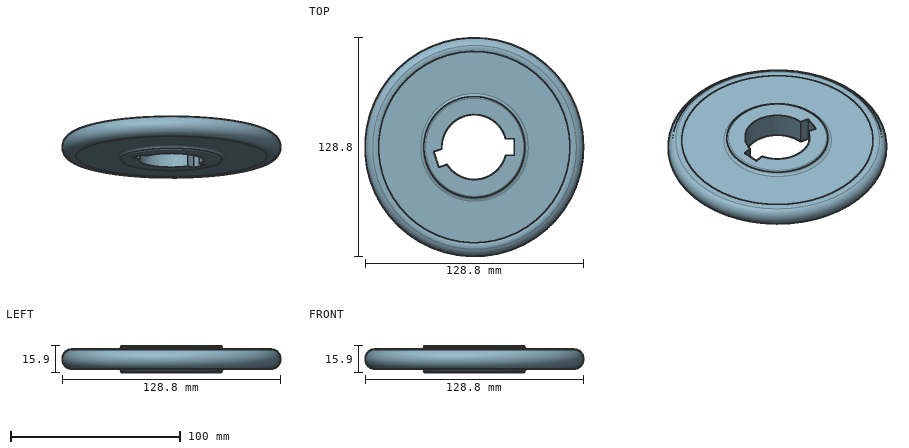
import cadquery as cq
import math

hub_width = 15.875
hub_radius = 29.77
hub_edge_fillet = 0.87
web_thickness = 11.1125
web_radius = 61.6
web_rim_fillet = 1.5875
collar_fillet = 1.984
collar_base_radius = 31.7

bore_diameter = 38.1
keyway_width = 9.525
keyway_reach = 23.45
keyway_angles = (0, 198)

tyre_outer_radius = 64.41
tyre_section_radius = 5.953
tyre_section_centre = tyre_outer_radius - tyre_section_radius

hub_top = hub_width / 2
web_top = web_thickness / 2
bore_radius = bore_diameter / 2


def point_on_arc(centre, radius, degrees):
    """Point (r, z) at the given angle on a circle in the half section."""
    angle = math.radians(degrees)
    return (centre[0] + radius * math.cos(angle), centre[1] + radius * math.sin(angle))


def make_wheel_half():
    """Upper half of the wheel, revolved about Z from its section above the mid-plane."""
    edge_centre = (hub_radius - hub_edge_fillet, hub_top - hub_edge_fillet)
    rim_centre = (web_radius - web_rim_fillet, web_top - web_rim_fillet)

    collar_centre = (collar_base_radius, web_top + collar_fillet)
    collar_end_angle = 180 + math.degrees(math.asin((collar_centre[1] - edge_centre[1]) / collar_fillet))
    collar_mid_angle = (collar_end_angle + 270) / 2

    section = (
        cq.Workplane("XZ")
        .moveTo(bore_radius, 0)
        .lineTo(bore_radius, hub_top)
        .lineTo(edge_centre[0], hub_top)
        .threePointArc(point_on_arc(edge_centre, hub_edge_fillet, 45), (hub_radius, edge_centre[1]))
        .lineTo(*point_on_arc(collar_centre, collar_fillet, collar_end_angle))
        .threePointArc(
            point_on_arc(collar_centre, collar_fillet, collar_mid_angle),
            (collar_base_radius, web_top),
        )
        .lineTo(rim_centre[0], web_top)
        .threePointArc(point_on_arc(rim_centre, web_rim_fillet, 45), (web_radius, rim_centre[1]))
        .lineTo(web_radius, 0)
        .close()
    )
    return section.revolve(360, (0, 0, 0), (0, 1, 0))


def make_keyway(angle):
    """Square-ended slot cutter through the hub, running from the axis out to the keyway floor."""
    slot = cq.Workplane("XY").box(keyway_reach, keyway_width, hub_width, centered=(False, True, True))
    return slot.rotate((0, 0, 0), (0, 0, 1), angle)


def make_wheel():
    """Both halves of the wheel joined, with the keyways cut in the bore."""
    upper_half = make_wheel_half()
    wheel = upper_half.union(upper_half.mirror("XY"))
    for angle in keyway_angles:
        wheel = wheel.cut(make_keyway(angle))
    return wheel


def make_tyre(wheel):
    """Full round ring with a channel that matches the rim of the web."""
    section_plane = cq.Workplane("XZ").transformed(rotate=(0, 0, 180))
    section = section_plane.moveTo(-tyre_section_centre, 0).circle(tyre_section_radius)
    ring = section.revolve(360, (0, 0, 0), (0, 1, 0))
    return ring.cut(wheel)


wheel = make_wheel()
tyre = make_tyre(wheel)

result = cq.Compound.makeCompound([wheel.solids().val(), tyre.solids().val()])